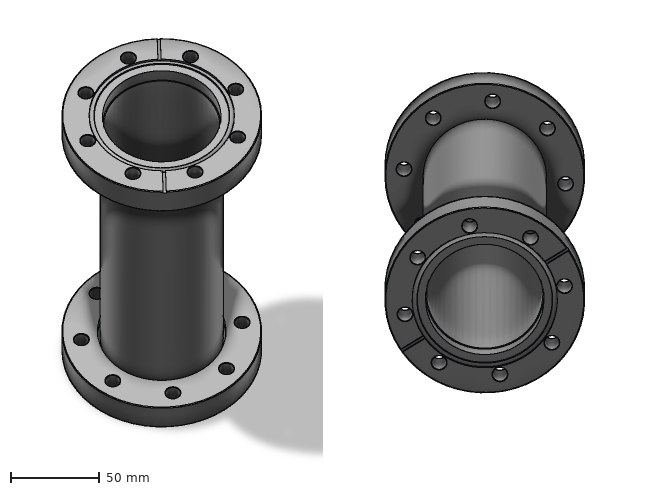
import cadquery as cq
import math


overall_length = 209.6
flange_radius = 113.49 / 2
flange_thickness = 17.5
edge_chamfer = 0.5

tube_outer_radius = 35.0
tube_inner_radius = 33.0
tube_end_setback = 9.5

gasket_recess_radius = 41.25
knife_radius = 38.6
floor_radius = 38.35
knife_tip_depth = 0.5
knife_slope = 20.0
floor_depth = 1.2
bore_radius = 33.65
recess_width = gasket_recess_radius - knife_radius
recess_depth = knife_tip_depth + recess_width * math.tan(math.radians(knife_slope))

bolt_count = 8
bolt_circle_radius = 92.2 / 2
bolt_hole_diameter = 8.4
bolt_hole_chamfer = 0.3
bolt_pitch = 360 / bolt_count
groove_pitches = 2.5
groove_width = 1.8
groove_depth = 1.0
top_flange_angle = 25.4
bottom_flange_angle = 9.1

clearance_bore_radius = 36.5
insert_shoulder_depth = 12.0


def ring(outer_radius, inner_radius, z_start, z_end):
    """Plain ring about Z between two heights."""
    return (
        cq.Workplane("XY")
        .workplane(offset=z_start)
        .circle(outer_radius)
        .circle(inner_radius)
        .extrude(z_end - z_start)
    )


def flange_blank(inner_radius):
    """Chamfered flange ring with its sealing face up at Z = 0."""
    disc = cq.Workplane("XY").circle(flange_radius).extrude(-flange_thickness).edges().chamfer(edge_chamfer)
    bore = cq.Workplane("XY").circle(inner_radius).extrude(-flange_thickness)
    return disc.cut(bore)


def bolt_holes():
    """Cutter for the bolt holes with both rims chamfered, the first hole on the +X axis."""
    hole_radius = bolt_hole_diameter / 2
    rim_radius = hole_radius + bolt_hole_chamfer
    profile = [
        (0, 0),
        (rim_radius, 0),
        (hole_radius, -bolt_hole_chamfer),
        (hole_radius, bolt_hole_chamfer - flange_thickness),
        (rim_radius, -flange_thickness),
        (0, -flange_thickness),
    ]
    hole = cq.Workplane("XZ").polyline(profile).close().revolve(360, (0, 0), (0, 1)).val()
    return (
        cq.Workplane("XY")
        .polarArray(bolt_circle_radius, 0, 360, bolt_count)
        .eachpoint(lambda location: hole.moved(location), combine=False)
        .combine()
    )


def leak_grooves():
    """Cutter for two opposite radial grooves, each midway between two bolt holes."""
    bar = cq.Workplane("XY").box(2 * flange_radius, groove_width, 2 * groove_depth)
    core = cq.Workplane("XY").circle(gasket_recess_radius).extrude(2 * groove_depth, both=True)
    groove_angle = groove_pitches * bolt_pitch
    return bar.cut(core).rotate((0, 0, 0), (0, 0, 1), groove_angle)


def sealing_recess():
    """Cutter that leaves the conical knife edge and the floor inside it."""
    profile = [
        (0, 0),
        (gasket_recess_radius, 0),
        (gasket_recess_radius, -recess_depth),
        (knife_radius, -knife_tip_depth),
        (floor_radius, -floor_depth),
        (0, -floor_depth),
    ]
    return cq.Workplane("XZ").polyline(profile).close().revolve(360, (0, 0), (0, 1))


def place_top(body):
    """Move a body with its face at Z = 0 to the top end of the nipple."""
    return body.rotate((0, 0, 0), (0, 0, 1), top_flange_angle).translate((0, 0, overall_length))


def place_bottom(body):
    """Turn a body over so that its face points down at the bottom end."""
    return body.rotate((0, 0, 0), (1, 0, 0), 180).rotate((0, 0, 0), (0, 0, 1), bottom_flange_angle)


def make_fixed_flange():
    """Flange with its own knife edge and a seat at the back for the tube."""
    tube_seat = ring(tube_outer_radius, 0, -flange_thickness, -tube_end_setback)
    body = flange_blank(bore_radius)
    for cutter in (sealing_recess(), tube_seat, bolt_holes(), leak_grooves()):
        body = body.cut(cutter)
    return place_top(body)


def make_rotatable_flange():
    """Outer flange that turns on the insert, open around the tube at the back."""
    insert_pocket = ring(gasket_recess_radius, 0, -insert_shoulder_depth, 0)
    body = flange_blank(clearance_bore_radius)
    for cutter in (insert_pocket, bolt_holes(), leak_grooves()):
        body = body.cut(cutter)
    return place_bottom(body)


def make_insert():
    """Knife-edge ring that fills the pocket of the rotatable flange and holds the tube."""
    body = ring(gasket_recess_radius, bore_radius, -insert_shoulder_depth, 0)
    tube_seat = ring(tube_outer_radius, 0, -insert_shoulder_depth, -tube_end_setback)
    return place_bottom(body.cut(tube_seat).cut(sealing_recess()))


def make_tube():
    """Straight tube seated in the fixed flange and in the insert."""
    return ring(tube_outer_radius, tube_inner_radius, tube_end_setback, overall_length - tube_end_setback)


tube = make_tube()
fixed_flange = make_fixed_flange()
rotatable_flange = make_rotatable_flange()
insert = make_insert()

result = cq.Compound.makeCompound([tube.val(), fixed_flange.val(), rotatable_flange.val(), insert.val()])